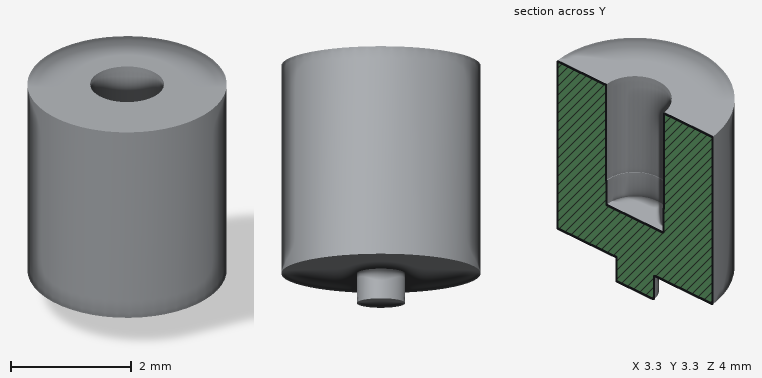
import cadquery as cq

body_diameter = 3.3
total_height = 4.0

pin_diameter = 0.8
pin_length = 0.5
body_height = total_height - pin_length

mouth_diameter = 1.22
bore_diameter = 1.2
mouth_depth = 2.0
hole_depth = 2.5


def cylinder(diameter, bottom, top):
    """Cylinder on the Z axis between two heights."""
    return cq.Workplane("XY").workplane(offset=bottom).circle(diameter / 2).extrude(top - bottom)


body = cylinder(body_diameter, 0, body_height)
pin = cylinder(pin_diameter, -pin_length, 0)
mouth = cylinder(mouth_diameter, body_height - mouth_depth, body_height)
bore = cylinder(bore_diameter, body_height - hole_depth, body_height)

result = body.union(pin).cut(mouth).cut(bore)